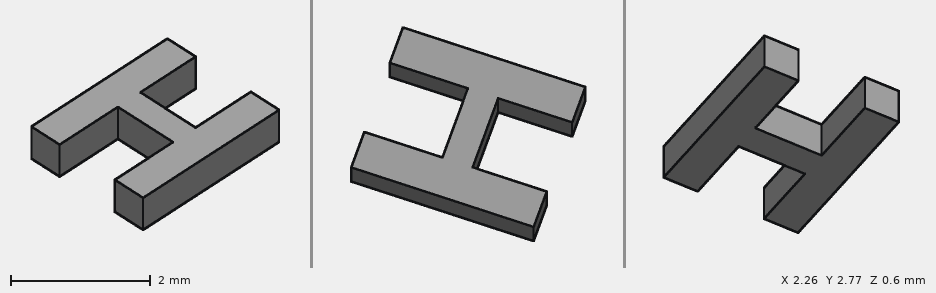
import cadquery as cq

width = 2.26
length = 2.77
thickness = 0.6

leg_width = 0.573
crossbar_depth = 0.46
crossbar_front = 1.185


def block(size_x, size_y, corner_x, corner_y):
    """Full-thickness rectangular block placed by its front-left corner."""
    return (
        cq.Workplane("XY")
        .box(size_x, size_y, thickness, centered=False)
        .translate((corner_x, corner_y, 0))
    )


result = block(width, crossbar_depth, 0, crossbar_front)
for leg_x in (0, width - leg_width):
    result = result.union(block(leg_width, length, leg_x, 0))
result = result.clean()